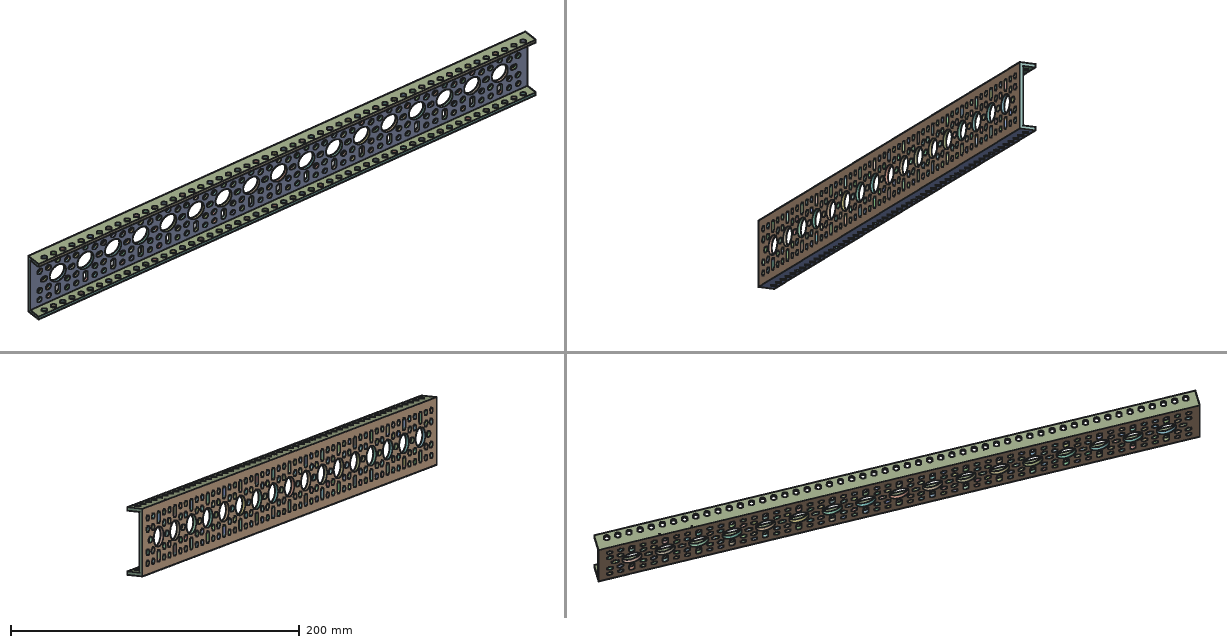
import cadquery as cq
import math

length = 432.0
grid_steps = 54
cell_steps = 3
wall = 2.5

grid = length / grid_steps
cell = cell_steps * grid
cell_count = grid_steps // cell_steps
height = 2 * cell
depth = cell / 2
hole_diameter = grid / 2
bore_diameter = 1.75 * grid
outer_row = 2 * grid

inner_ring = grid * math.sqrt(2)
outer_ring = cell / 2

flat_slot_length = cell - 2 * inner_ring + hole_diameter
tall_slot_length = outer_row - inner_ring + hole_diameter
tall_slot_center = (outer_row + inner_ring) / 2
diagonal_slot_length = outer_ring - inner_ring + hole_diameter
diagonal_angle = 45
diagonal_slot_radius = (outer_ring + inner_ring) / 2
diagonal_offset = diagonal_slot_radius * math.cos(math.radians(diagonal_angle))

end_y = length / 2
grid_lines = [step * grid - end_y for step in range(1, grid_steps)]
cell_borders = [n * cell - end_y for n in range(cell_count + 1)]
bore_positions = cell_borders[1:-1]
cell_middles = [border + cell / 2 for border in cell_borders[:-1]]
between_bores = [step * grid - end_y for step in range(1, grid_steps) if step % cell_steps != 0]


def make_channel():
    """Sharp-cornered U channel, web on the -X side, open towards +X."""
    outside = cq.Workplane("XY").box(depth, length, height)
    inside = cq.Workplane("XY").box(depth, length, height - 2 * wall).translate((wall, 0, 0))
    return outside.cut(inside)


def on_web(points):
    """Points (Y, Z) on the outer face of the web."""
    return cq.Workplane("YZ", origin=(-depth / 2, 0, 0)).pushPoints(points)


def web_holes(points, diameter):
    """Round cutters through the web."""
    return on_web(points).circle(diameter / 2).extrude(wall)


def web_slots(points, slot_length, angle):
    """Slot cutters through the web, turned by an angle from the Y direction."""
    return on_web(points).slot2D(slot_length, hole_diameter, angle).extrude(wall)


def bore_cutter():
    """Row of large bores along the web centreline."""
    return web_holes([(y, 0) for y in bore_positions], bore_diameter)


def outer_row_cutter():
    """Round holes near the flanges, two between each pair of tall slots."""
    points = [(y, z) for y in between_bores for z in (-outer_row, outer_row)]
    return web_holes(points, hole_diameter)


def flat_slot_cutter():
    """Short slots along the centreline, midway between the bores."""
    return web_slots([(y, 0) for y in cell_middles], flat_slot_length, 0)


def tall_slot_cutter():
    """Upright slots above and below each bore."""
    points = [(y, z) for y in bore_positions for z in (-tall_slot_center, tall_slot_center)]
    return web_slots(points, tall_slot_length, 90)


def diagonal_slot_cutter(side_y, side_z):
    """Radial slots in one diagonal direction from each bore.

    The pattern also continues around the channel ends, where only the slots
    that point inwards lie on the web.
    """
    slot_y = [border + side_y * diagonal_offset for border in cell_borders]
    points = [(y, side_z * diagonal_offset) for y in slot_y if abs(y) < end_y]
    return web_slots(points, diagonal_slot_length, side_y * side_z * diagonal_angle)


def flange_cutter():
    """One row of holes passing through both flanges."""
    row_x = grid - depth / 2
    return (
        cq.Workplane("XY", origin=(0, 0, -height / 2))
        .pushPoints([(row_x, y) for y in grid_lines])
        .circle(hole_diameter / 2)
        .extrude(height)
    )


cutters = [bore_cutter(), outer_row_cutter(), flat_slot_cutter(), tall_slot_cutter(), flange_cutter()]
for side_y in (-1, 1):
    for side_z in (-1, 1):
        cutters.append(diagonal_slot_cutter(side_y, side_z))

result = make_channel()
for cutter in cutters:
    result = result.cut(cutter)